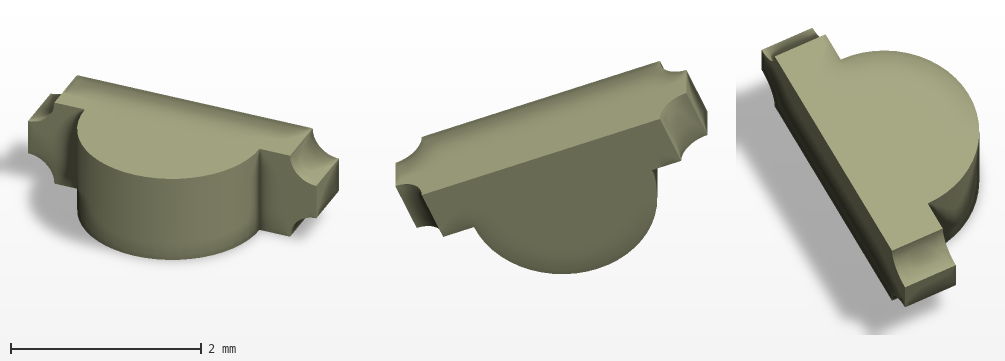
import cadquery as cq

LENGTH = 3.3
HEIGHT = 1.0
BASE_DEPTH = 0.6
LENS_RADIUS = 1.0
NOTCH_RADIUS = 0.3

MARK_WIDTH = 0.2
MARK_DEPTH = 0.03
MARK_CENTER_X = 0.75

half_length = LENGTH / 2
half_height = HEIGHT / 2


def make_mark():
    """Thin strip running the full height of the back face."""
    return cq.Workplane("XY").box(MARK_WIDTH, MARK_DEPTH, HEIGHT).translate(
        (MARK_CENTER_X, BASE_DEPTH - MARK_DEPTH / 2, 0)
    )


def make_base(mark):
    """Bar with a quarter-round notch along each end edge and a recess for the mark."""
    bar = cq.Workplane("XY").box(LENGTH, BASE_DEPTH, HEIGHT).translate((0, BASE_DEPTH / 2, 0))
    corners = [(x, z) for x in (-half_length, half_length) for z in (-half_height, half_height)]
    notches = cq.Workplane("XZ").pushPoints(corners).circle(NOTCH_RADIUS).extrude(-BASE_DEPTH)
    return bar.cut(notches).cut(mark)


def make_lens():
    """Half cylinder with its flat side against the front face of the base."""
    return (
        cq.Workplane("XY")
        .workplane(offset=-half_height)
        .moveTo(-LENS_RADIUS, 0)
        .threePointArc((0, -LENS_RADIUS), (LENS_RADIUS, 0))
        .close()
        .extrude(HEIGHT)
    )


mark = make_mark()
base = make_base(mark)
lens = make_lens()

result = cq.Compound.makeCompound([base.val(), lens.val(), mark.val()])